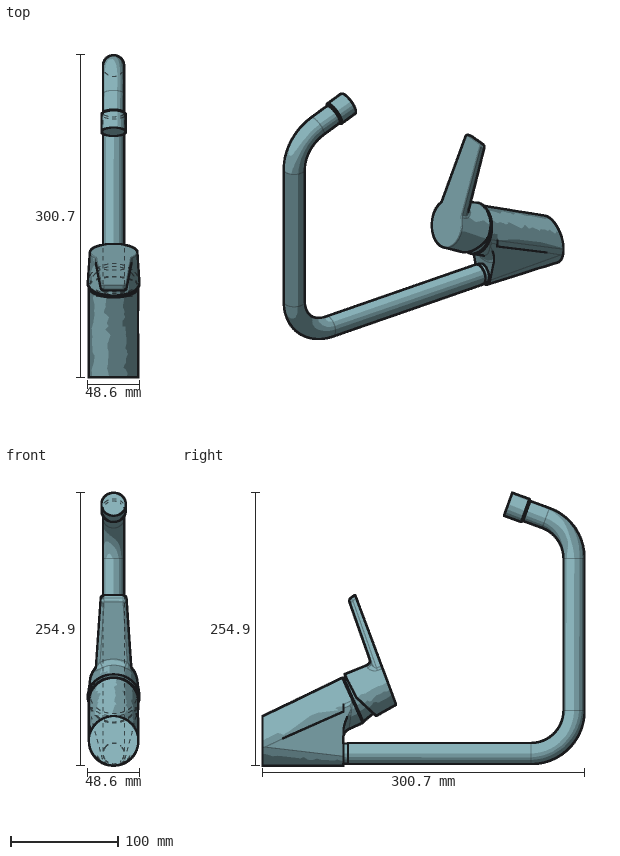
import cadquery as cq
import math


body_radius = 23.2
barrel_end_y = 84.0
barrel_end_z = 37.9
barrel_tilt = math.degrees(math.atan2(barrel_end_z, barrel_end_y))

tube_radius = 10.0
tube_bend_radius = 40.0
tube_axis_z = -11.75
tube_far_y = 300.7
tube_neck_radius = 9.6
tube_neck_length = 4.3
outlet_bend = 70.0
outlet_straight = 19.0
overall_height = 254.89

foot_end_y = 75.4
foot_end_radius = body_radius + tube_axis_z
foot_blend_radius = 9.0
web_angle = 15.1
web_inset = 0.01

neck_length = 14.0
neck_step = 0.4
neck_start_radius = body_radius - neck_step
neck_end_radius = 18.9
bevel_length = 1.0

cap_rim_radius = 24.31
cap_rim_y = 87.5
cap_rim_z = 40.6
cap_rim_tilt = 27.0
cap_face_radius = 22.3
cap_face_y = 117.0
cap_face_z = 54.75
cap_face_tilt = 20.5
cap_relief_angle = 43.0
cap_back_allowance = 14.0

lever_length = 87.2
lever_root = 10.0
lever_root_width = 34.0
lever_tip_width = 24.0
lever_root_thickness = 8.8
lever_tip_thickness = 7.4
lever_tip_setback = 2.0
lever_corner_radius = 3.5
lever_front_fillet = 3.5
lever_joint_fillet = 4.5
lever_back_allowance = 6.0
lever_tip_allowance = 8.0
back_fillet = 0.8

aerator_radius = 11.5
aerator_length = 18.5
aerator_chamfer = 1.5

oversize = 150.0


def tilted_plane(y, z, tilt):
    """Plane across the X = 0 section, facing +Y raised by the tilt; its local y axis runs upward."""
    angle = math.radians(tilt)
    return cq.Plane(origin=(0, y, z), xDir=(-1, 0, 0), normal=(0, math.cos(angle), math.sin(angle)))


def circle_wire(plane, radius):
    return cq.Workplane(plane).circle(radius).wires().val()


def ruled_loft(*wires):
    return cq.Workplane(obj=cq.Solid.makeLoft(list(wires), True))


def side_prism(points, half_width):
    """Polygon of (y, z) points, extruded symmetrically in X."""
    return cq.Workplane("YZ").polyline(points).close().extrude(half_width, both=True)


base_plane = tilted_plane(0, 0, 0)
barrel_end = tilted_plane(barrel_end_y, barrel_end_z, barrel_tilt)
foot_end = tilted_plane(foot_end_y, tube_axis_z, 0)
cap_rim = tilted_plane(cap_rim_y, cap_rim_z, cap_rim_tilt)
cap_face = tilted_plane(cap_face_y, cap_face_z, cap_face_tilt)
axis_z_at_foot_end = foot_end_y * barrel_end_z / barrel_end_y


def cut_to_web_sides(shape):
    """Trim both sides of a shape to the flat planes tangent to the base circle and the foot end."""
    turn = math.radians(web_angle)
    across = math.cos(turn)
    down = math.sin(turn)
    along = (body_radius - foot_end_radius + tube_axis_z * down) / foot_end_y
    reach = body_radius - web_inset
    for side in (-1, 1):
        plane = cq.Plane(
            origin=(side * reach * across, 0, -reach * down),
            xDir=(0, down, along),
            normal=(side * across, along, -down),
        )
        shape = shape.cut(cq.Workplane(plane).rect(2 * oversize, 2 * oversize).extrude(oversize))
    return shape


def make_web():
    """Flat-sided wedge that fills the gap between barrel and foot."""
    turn = math.sin(math.radians(web_angle))
    barrel_drop = body_radius * turn / math.cos(math.radians(barrel_tilt))
    wedge = side_prism(
        [
            (0, -body_radius * turn),
            (foot_end_y, axis_z_at_foot_end - barrel_drop),
            (foot_end_y, tube_axis_z - foot_end_radius * turn),
        ],
        body_radius,
    )
    return cut_to_web_sides(wedge)


def make_overhang():
    """Lower half of the barrel past the end of the foot, blended into the foot's end face."""
    past_foot = cq.Workplane(foot_end).rect(2 * oversize, 2 * oversize).extrude(oversize)
    wall = cq.Workplane(foot_end).rect(2 * oversize, 2 * oversize).extrude(-oversize)
    barrel = cq.Workplane(barrel_end).circle(body_radius).extrude(oversize, both=True)
    joint = cq.selectors.NearestToPointSelector((0, foot_end_y, axis_z_at_foot_end))
    blended = wall.union(barrel.intersect(past_foot)).edges(joint).fillet(foot_blend_radius)
    angle = math.radians(barrel_tilt)
    below_axis = side_prism(
        [
            (foot_end_y, tube_axis_z),
            (foot_end_y, axis_z_at_foot_end),
            (barrel_end_y, barrel_end_z),
            (barrel_end_y + oversize * math.sin(angle), barrel_end_z - oversize * math.cos(angle)),
        ],
        body_radius,
    )
    return cut_to_web_sides(blended.intersect(below_axis))


def make_body():
    foot = ruled_loft(circle_wire(base_plane, body_radius), circle_wire(foot_end, foot_end_radius))
    barrel = ruled_loft(circle_wire(base_plane, body_radius), circle_wire(barrel_end, body_radius))
    return barrel.union(foot.union(make_web())).union(make_overhang())


def make_neck():
    bevel = cq.Workplane(barrel_end).circle(body_radius).workplane(offset=bevel_length)
    bevel = bevel.circle(neck_start_radius).loft(ruled=True)
    cone = cq.Workplane(barrel_end).circle(neck_start_radius)
    cone = cone.workplane(offset=neck_length).circle(neck_end_radius).loft(ruled=True)
    return bevel.union(cone)


def up_the_lever(shape):
    """Distance of a shape's centre up the lever from the centre of the cap face."""
    return (shape.Center() - cap_face.origin).dot(cap_face.yDir)


def make_lever():
    """Tapered lever blade, reaching behind the cap face by the back allowance."""
    blank_length = lever_length + lever_tip_allowance
    taper = (lever_root_width - lever_tip_width) / (lever_length - lever_root)
    half_root = lever_root_width / 2
    half_end = half_root - taper * (blank_length - lever_root) / 2
    outline = (
        cq.Workplane(cap_face)
        .workplane(offset=lever_back_allowance)
        .polyline([
            (-half_root, lever_root),
            (half_root, lever_root),
            (half_end, blank_length),
            (-half_end, blank_length),
        ])
        .close()
        .extrude(-lever_root_thickness - lever_back_allowance)
    )
    side = cq.Plane(origin=cap_face.origin, xDir=cap_face.yDir, normal=cap_face.xDir)
    tip_slope = lever_tip_setback / lever_tip_thickness
    profile = (
        cq.Workplane(side)
        .polyline([
            (lever_root, lever_back_allowance),
            (lever_length + tip_slope * lever_back_allowance, lever_back_allowance),
            (lever_length - lever_tip_setback, -lever_tip_thickness),
            (lever_root, -lever_root_thickness),
        ])
        .close()
        .extrude(lever_root_width, both=True)
    )
    lever = outline.intersect(profile)
    tip = lever.faces(cq.selectors.DirectionMinMaxSelector(cap_face.yDir, True))
    corners = [edge for edge in tip.edges().vals() if abs(edge.Center().x) > lever_corner_radius]
    lever = lever.newObject(corners).fillet(lever_corner_radius)
    root_edge = cq.selectors.DirectionMinMaxSelector(cap_face.yDir, False)
    front = lever.faces(cq.selectors.DirectionMinMaxSelector(cap_face.zDir, False))
    return front.edges(-root_edge).fillet(lever_front_fillet)


def make_head():
    """Cap and lever in one piece, built long at the back and then trimmed flat."""
    axis = cap_face.origin - cap_rim.origin
    stretch = 1 + cap_back_allowance / axis.Length
    back = cap_rim.origin + axis * stretch
    back_radius = cap_rim_radius + (cap_face_radius - cap_rim_radius) * stretch
    back_plane = tilted_plane(back.y, back.z, cap_face_tilt)
    cap = ruled_loft(circle_wire(cap_rim, cap_rim_radius), circle_wire(back_plane, back_radius))
    head = cap.union(make_lever())
    joint = [
        edge for edge in head.edges().vals()
        if edge.geomType() == "BSPLINE" and lever_root < up_the_lever(edge) < cap_rim_radius
    ]
    head = head.newObject(joint).fillet(lever_joint_fillet)
    head = head.cut(cq.Workplane(cap_face).rect(2 * oversize, 2 * oversize).extrude(oversize))
    back_face = head.faces(cq.selectors.DirectionMinMaxSelector(cap_face.zDir, True))
    head = back_face.edges().fillet(back_fillet)
    relief_angle = math.radians(cap_relief_angle)
    relief = side_prism(
        [
            (cap_rim_y, cap_rim_z),
            (cap_rim_y + oversize * math.cos(relief_angle), cap_rim_z - oversize * math.sin(relief_angle)),
            (cap_rim_y - oversize, cap_rim_z - oversize),
        ],
        oversize,
    )
    return head.cut(relief)


def make_spout():
    bend = math.radians(outlet_bend)
    outlet_tilt = 90 - outlet_bend
    outlet_rise = math.radians(outlet_tilt)
    riser_y = tube_far_y - tube_radius
    centre_y = riser_y - tube_bend_radius
    lower_centre_z = tube_axis_z + tube_bend_radius
    outlet_length = outlet_straight + aerator_length
    upper_centre_z = (
        overall_height
        - body_radius
        - aerator_radius * math.cos(outlet_rise)
        - outlet_length * math.sin(outlet_rise)
        - tube_bend_radius * math.sin(bend)
    )
    tube_start_y = foot_end_y + tube_neck_length

    def on_bend(centre_z, angle):
        return (centre_y + tube_bend_radius * math.cos(angle), centre_z + tube_bend_radius * math.sin(angle))

    bend_end_y, bend_end_z = on_bend(upper_centre_z, bend)
    outlet_y = bend_end_y - outlet_straight * math.cos(outlet_rise)
    outlet_z = bend_end_z + outlet_straight * math.sin(outlet_rise)
    path = (
        cq.Workplane("YZ")
        .moveTo(tube_start_y, tube_axis_z)
        .lineTo(centre_y, tube_axis_z)
        .threePointArc(on_bend(lower_centre_z, -math.pi / 4), (riser_y, lower_centre_z))
        .lineTo(riser_y, upper_centre_z)
        .threePointArc(on_bend(upper_centre_z, bend / 2), (bend_end_y, bend_end_z))
        .lineTo(outlet_y, outlet_z)
    )
    tube = cq.Workplane(tilted_plane(tube_start_y, tube_axis_z, 0)).circle(tube_radius).sweep(path)
    neck = cq.Workplane(foot_end).circle(tube_neck_radius).extrude(tube_neck_length)
    aerator = (
        cq.Workplane(tilted_plane(outlet_y, outlet_z, 180 - outlet_tilt))
        .circle(aerator_radius)
        .extrude(aerator_length)
        .faces(cq.selectors.NearestToPointSelector((0, outlet_y, outlet_z)))
        .chamfer(aerator_chamfer)
    )
    return neck.union(tube).union(aerator)


result = make_body().union(make_neck()).union(make_head()).union(make_spout())